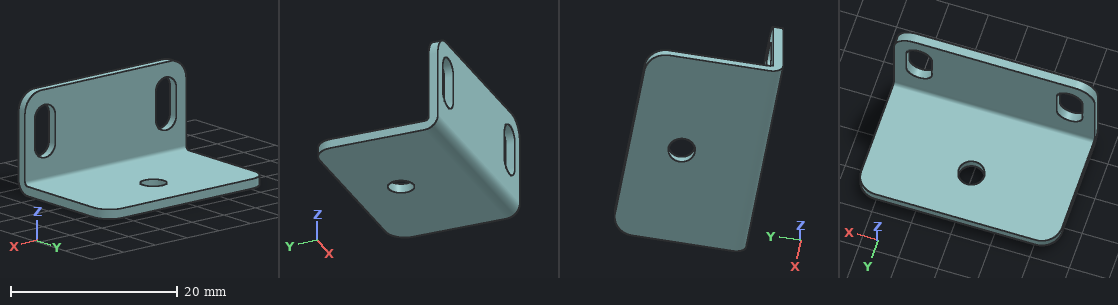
import cadquery as cq

width = 25.4
depth = 16.5
height = 12.7

thickness = 1.22
inner_bend_radius = 0.5
outer_bend_radius = inner_bend_radius + thickness
corner_radius = 2.55

hole_diameter = 3.2
hole_from_front = 10.15

slot_width = 3.25
slot_length = 6.6
slot_spacing = 19.05
slot_center_height = 7.5


def bent_sheet():
    """L-shaped sheet, front face at Y = 0, underside at Z = 0, centred on X."""
    profile = (
        cq.Workplane("YZ")
        .polyline([
            (0, 0),
            (depth, 0),
            (depth, thickness),
            (thickness, thickness),
            (thickness, height),
            (0, height),
        ])
        .close()
    )
    sheet = profile.extrude(width / 2, both=True)
    sheet = sheet.edges("|X and <Y and <Z").fillet(outer_bend_radius)
    inner_corner = cq.selectors.NearestToPointSelector((0, thickness, thickness))
    return sheet.edges(inner_corner).fillet(inner_bend_radius)


def round_free_corners(sheet):
    """Round the two outer corners of each flange."""
    sheet = sheet.faces(">Y").edges("|Z").fillet(corner_radius)
    return sheet.faces(">Z").edges("|Y").fillet(corner_radius)


def base_hole():
    return (
        cq.Workplane("XY")
        .center(0, hole_from_front)
        .circle(hole_diameter / 2)
        .extrude(thickness)
    )


def upright_slots():
    slot_centers = [(side * slot_spacing / 2, slot_center_height) for side in (-1, 1)]
    return (
        cq.Workplane("XZ")
        .pushPoints(slot_centers)
        .slot2D(slot_length, slot_width, 90)
        .extrude(-thickness)
    )


result = round_free_corners(bent_sheet()).cut(base_hole()).cut(upright_slots())